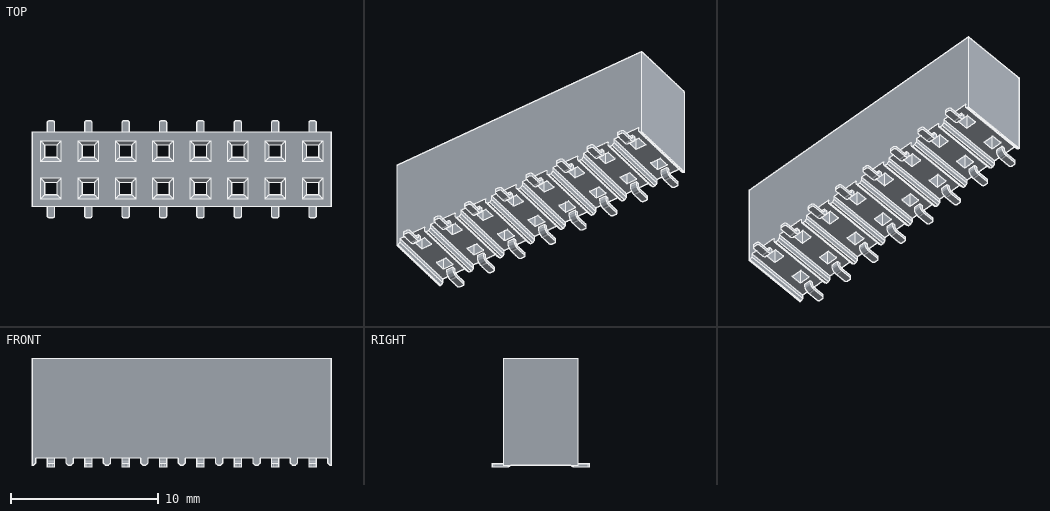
import cadquery as cq
import math

columns = 8
rows = 2
body_length = 20.32
pitch = body_length / columns
body_width = rows * pitch
overall_width = 6.6
overall_height = 7.4

foot_bottom_z = 0.12
notch_top_z = 0.6
foot_width = 0.5
foot_chamfer = 0.16

opening_size = 0.81
lead_in_size = 1.4
lead_in_depth = 0.3
opening_offset_y = -0.05

tail_width = 0.5
tail_thickness = 0.25
tail_tip_radius = 0.15
bend_inner_radius = 0.18
bend_outer_radius = bend_inner_radius + tail_thickness
bend_start_inset = 0.2
stem_embedment = 0.2

column_x_positions = [(i - (columns - 1) / 2) * pitch for i in range(columns)]
opening_y_positions = [(i - (rows - 1) / 2) * pitch + opening_offset_y for i in range(rows)]


def make_body():
    """Housing block standing on its feet."""
    return (
        cq.Workplane("XY", origin=(0, 0, foot_bottom_z))
        .rect(body_length, body_width)
        .extrude(overall_height - foot_bottom_z)
    )


def make_notch(x):
    """Channel along Y that leaves a foot with chamfered lower edges on each side."""
    half_top = (pitch - foot_width) / 2
    half_bottom = half_top + foot_chamfer
    chamfer_top_z = foot_bottom_z + foot_chamfer
    return (
        cq.Workplane("XZ")
        .polyline([
            (x - half_bottom, foot_bottom_z),
            (x - half_top, chamfer_top_z),
            (x - half_top, notch_top_z),
            (x + half_top, notch_top_z),
            (x + half_top, chamfer_top_z),
            (x + half_bottom, foot_bottom_z),
        ])
        .close()
        .extrude(body_width / 2, both=True)
    )


def make_opening(x, y):
    """Square through hole with a pyramidal lead-in at the top face."""
    hole = cq.Workplane("XY").center(x, y).rect(opening_size, opening_size).extrude(overall_height)
    lead_in = (
        cq.Workplane("XY", origin=(x, y, overall_height))
        .rect(lead_in_size, lead_in_size)
        .workplane(offset=-lead_in_depth)
        .rect(opening_size, opening_size)
        .loft()
    )
    return hole.union(lead_in)


def make_tail():
    """L-shaped contact tail at X = 0 that points toward -Y and rises into the body."""
    tip_y = -overall_width / 2
    bend_y = -body_width / 2 + bend_start_inset
    stem_front_y = bend_y + bend_inner_radius
    stem_top_z = notch_top_z + stem_embedment
    bend_center_z = bend_outer_radius
    diagonal = math.sqrt(0.5)

    def bend_middle(radius):
        return (bend_y + radius * diagonal, bend_center_z - radius * diagonal)

    return (
        cq.Workplane("YZ")
        .moveTo(tip_y, 0)
        .lineTo(bend_y, 0)
        .threePointArc(bend_middle(bend_outer_radius), (bend_y + bend_outer_radius, bend_center_z))
        .lineTo(bend_y + bend_outer_radius, stem_top_z)
        .lineTo(stem_front_y, stem_top_z)
        .lineTo(stem_front_y, bend_center_z)
        .threePointArc(bend_middle(bend_inner_radius), (bend_y, tail_thickness))
        .lineTo(tip_y, tail_thickness)
        .close()
        .extrude(tail_width / 2, both=True)
        .faces("<Y")
        .edges("|Z")
        .fillet(tail_tip_radius)
    )


result = make_body()
front_tail = make_tail()
back_tail = front_tail.mirror("XZ")

for x in column_x_positions:
    result = result.cut(make_notch(x))
    for y in opening_y_positions:
        result = result.cut(make_opening(x, y))

for x in column_x_positions:
    for tail in (front_tail, back_tail):
        result = result.union(tail.translate((x, 0, 0)))